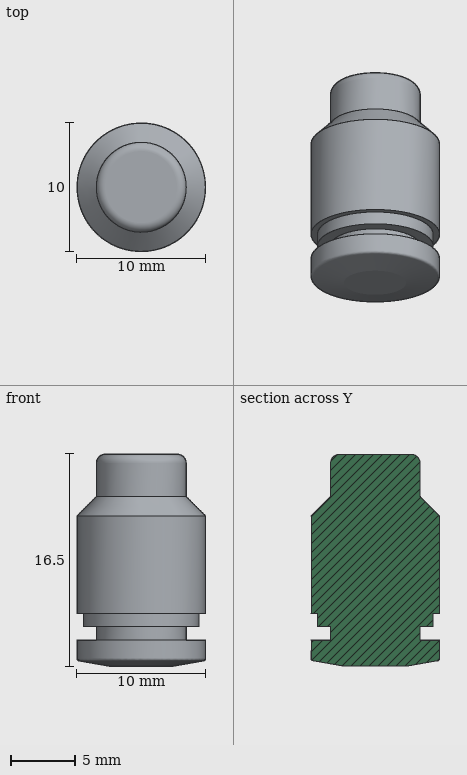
import cadquery as cq
import math

total_height = 16.5
body_radius = 5.0

neck_radius = 3.5
shoulder_radius = 4.5
groove_radius = neck_radius
base_flat_radius = 2.42

flange_top = 2.05
groove_top = 3.1
shoulder_top = 4.1
neck_bottom = 13.2

body_taper_angle = 45.0
base_taper_angle = 10.0
neck_round = 0.7
flange_round = 0.2


def taper_height(outer_radius, inner_radius, angle):
    """Height of a cone between two radii, its side at angle degrees from horizontal."""
    return (outer_radius - inner_radius) * math.tan(math.radians(angle))


body_top = neck_bottom - taper_height(body_radius, neck_radius, body_taper_angle)
flange_bottom = taper_height(body_radius, base_flat_radius, base_taper_angle)


def revolved_body():
    """Sharp-edged stepped pin, turned about the Z axis."""
    profile = [
        (0, 0),
        (base_flat_radius, 0),
        (body_radius, flange_bottom),
        (body_radius, flange_top),
        (groove_radius, flange_top),
        (groove_radius, groove_top),
        (shoulder_radius, groove_top),
        (shoulder_radius, shoulder_top),
        (body_radius, shoulder_top),
        (body_radius, body_top),
        (neck_radius, neck_bottom),
        (neck_radius, total_height),
        (0, total_height),
    ]
    return cq.Workplane("XZ").polyline(profile).close().revolve(360, (0, 0, 0), (0, 1, 0))


def round_neck_top(pin):
    """Round the rim of the neck's top face."""
    return pin.faces(">Z").edges().fillet(neck_round)


def round_flange_bottom(pin):
    """Round the lower outer rim of the flange, where it meets the base taper."""
    margin = flange_round / 2
    rim_zone = cq.selectors.BoxSelector(
        (-body_radius - margin, -body_radius - margin, flange_bottom - margin),
        (body_radius + margin, body_radius + margin, flange_bottom + margin),
        boundingbox=True,
    )
    return pin.edges("%CIRCLE").edges(rim_zone).fillet(flange_round)


result = round_flange_bottom(round_neck_top(revolved_body()))